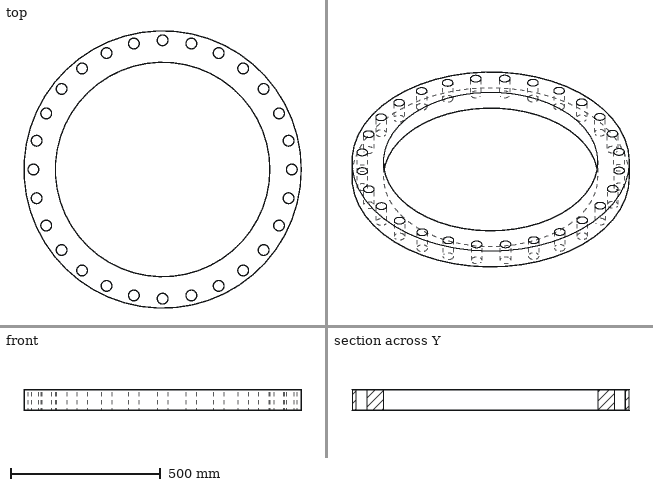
import cadquery as cq

outer_diameter = 927.0
bore_diameter = 715.5
thickness = 69.5

bolt_hole_count = 28
bolt_circle_diameter = 863.0
bolt_hole_diameter = 35.0


def make_ring():
    """Flat ring standing on the XY plane."""
    return (
        cq.Workplane("XY")
        .circle(outer_diameter / 2)
        .circle(bore_diameter / 2)
        .extrude(thickness)
    )


def drill_bolt_holes(ring):
    """Cut the circle of through holes around the Z axis."""
    return (
        ring.faces(">Z")
        .workplane(origin=(0, 0, thickness))
        .polarArray(bolt_circle_diameter / 2, 0, 360, bolt_hole_count)
        .hole(bolt_hole_diameter)
    )


result = drill_bolt_holes(make_ring())